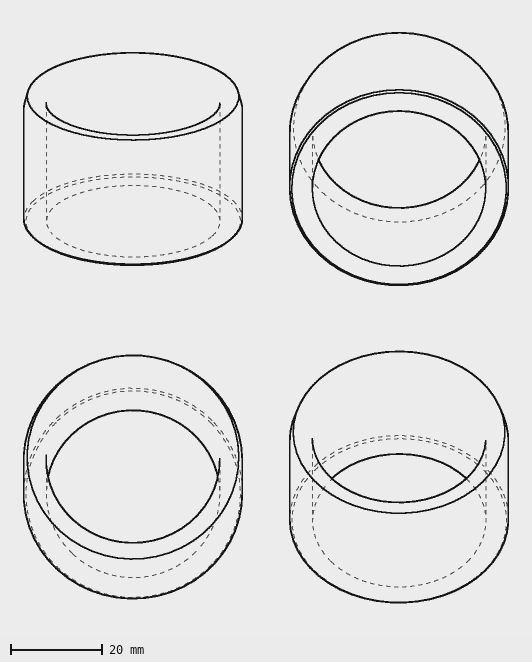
import cadquery as cq
import math

outer_diameter = 48.0
bore_diameter = 38.0
height = 30.0

taper_height = 3.0
taper_angle = 15.0

bore_entry_radius = 2.0
bottom_chamfer = 0.5

outer_radius = outer_diameter / 2
bore_radius = bore_diameter / 2
top_radius = outer_radius - taper_height * math.tan(math.radians(taper_angle))


def tapered_sleeve():
    """Revolve the wall section, with its outer taper, about the Z axis."""
    wall = [
        (bore_radius, 0),
        (outer_radius, 0),
        (outer_radius, height - taper_height),
        (top_radius, height),
        (bore_radius, height),
    ]
    return cq.Workplane("XZ").polyline(wall).close().revolve(360, (0, 0), (0, 1))


def finish_edges(sleeve):
    """Round the bore entry at the top and chamfer the outer edge at the bottom."""
    bore_entry = cq.selectors.RadiusNthSelector(0)
    outer_edge = cq.selectors.RadiusNthSelector(-1)
    sleeve = sleeve.faces(">Z").edges(bore_entry).fillet(bore_entry_radius)
    return sleeve.faces("<Z").edges(outer_edge).chamfer(bottom_chamfer)


result = finish_edges(tapered_sleeve())